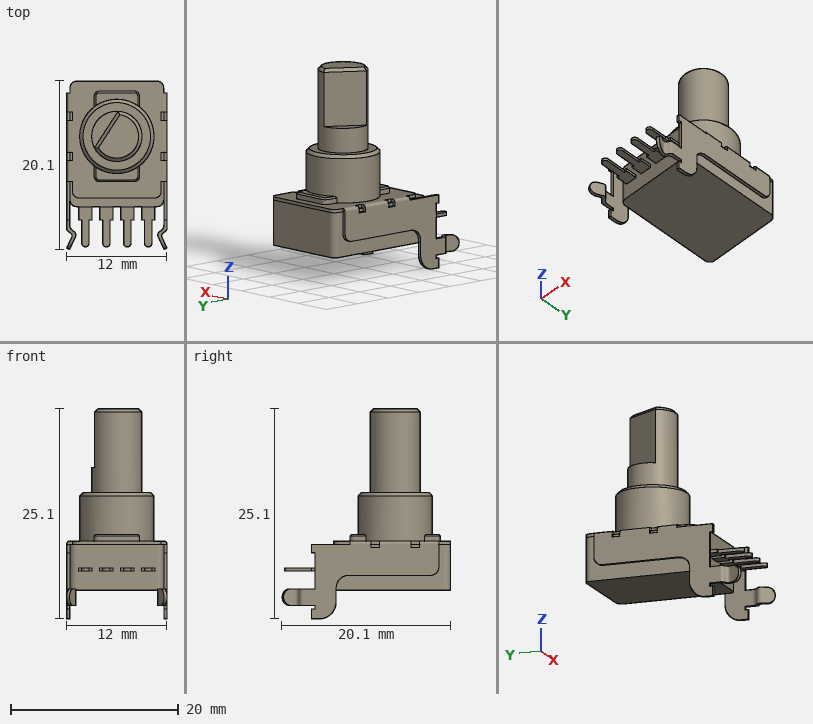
import cadquery as cq
import math


sheet = 0.4
frame_width = 12.0
wing_outer_x = frame_width / 2
wing_inner_x = wing_outer_x - sheet
wing_back_y = 5.2
bend_front_y = -5.4
plate_front_y = -7.35
plate_front_half_width = 5.3
relief_length = 1.0
relief_offset_y = 2.4
relief_depth = 2 * sheet

wing_front_y = -10.0
wing_recess_y = -9.6
wing_leg_back_y = -7.05
wing_upper_lug_z = -1.4
wing_low_edge_z = -4.1
wing_lower_lug_z = -8.1
wing_bottom_z = -9.3
wing_back_radius = 1.0
wing_inside_radius = 1.5
wing_leg_radius = 2.0

tongue_top_z = -5.7
tongue_height = 2.0
tongue_bottom_z = tongue_top_z - tongue_height
tongue_bend_y = -11.2
tongue_crest_x = 5.25
tongue_crest_y = -11.75
tongue_tip_y = -13.33
tongue_outer_radius = 0.4
tongue_hollow_radius = 0.8
tongue_crest_radius = 0.5

housing_half_width = wing_inner_x
housing_back_y = 6.6
housing_length = 15.0
housing_front_y = housing_back_y - housing_length
housing_bottom_z = -5.9
corner_radius = 0.8
bushing_diameter = 8.87
bushing_height = 5.8
bushing_chamfer = 0.4
pad_width = 5.4
pad_length = 10.8
pad_height = 0.8
pad_corner_radius = 0.6
pad_chamfer = 0.2

shaft_diameter = 6.0
shaft_top_z = 15.8
shaft_chamfer = 0.4
flat_bottom_z = 8.8
flat_distance = 1.5
flat_angle = 147.0

terminal_count = 4
terminal_pitch = 2.5
terminal_top_z = -3.2
terminal_thickness = 0.4
terminal_root_width = 1.6
terminal_blade_width = 0.9
terminal_shoulder_y = -10.0
terminal_tip_y = -13.2


def block(x_min, x_max, y_min, y_max, z_min, z_max):
    """Box between the given limits."""
    return cq.Workplane("XY").box(
        x_max - x_min, y_max - y_min, z_max - z_min, centered=False
    ).translate((x_min, y_min, z_min))


def pad_block():
    """Rounded bar across the bushing foot, whose two ends show as pads."""
    return (
        cq.Workplane("XY")
        .workplane(offset=-sheet)
        .rect(pad_width, pad_length)
        .extrude(sheet + pad_height)
        .edges("|Z")
        .fillet(pad_corner_radius)
    )


def axis_cylinder(diameter, height):
    """Cylinder on the shaft axis, from the underside of the plate up to a height."""
    return (
        cq.Workplane("XY")
        .workplane(offset=-sheet)
        .circle(diameter / 2)
        .extrude(sheet + height)
    )


def base_outline_prism(z_min, z_max):
    """Housing footprint with rounded corners, between two heights."""
    return (
        block(-housing_half_width, housing_half_width, housing_front_y, housing_back_y, z_min, z_max)
        .edges("|Z")
        .fillet(corner_radius)
    )


def make_shaft():
    """D-shaft that stands on the housing block inside the bushing."""
    shaft = axis_cylinder(shaft_diameter, shaft_top_z)
    flat_cut = block(
        flat_distance, shaft_diameter, -shaft_diameter, shaft_diameter, flat_bottom_z, shaft_top_z
    ).rotate((0, 0, 0), (0, 0, 1), flat_angle)
    return shaft.cut(flat_cut).faces(">Z").chamfer(shaft_chamfer)


def make_housing():
    """Housing block with its bushing and pads, which pass through the frame."""
    body = base_outline_prism(housing_bottom_z, -sheet)
    bushing = axis_cylinder(bushing_diameter, bushing_height).faces(">Z").chamfer(bushing_chamfer)
    pad = pad_block().faces(">Z").chamfer(pad_chamfer)
    bore = axis_cylinder(shaft_diameter, bushing_height)
    return body.union(bushing.union(pad).cut(bore))


def make_plate():
    """Top plate with the window for the bushing and pads."""
    plate_back = base_outline_prism(-sheet, 0).intersect(
        block(-frame_width, frame_width, bend_front_y, housing_back_y, -sheet, 0)
    )
    plate_front = (
        block(-plate_front_half_width, plate_front_half_width, plate_front_y, bend_front_y, -sheet, 0)
        .edges("|Z and <Y")
        .fillet(corner_radius)
    )
    window = axis_cylinder(bushing_diameter, bushing_height).union(pad_block())
    return plate_back.union(plate_front).cut(window)


def make_bend():
    """Rounded corner strip that joins the plate to the +X wing."""
    return (
        cq.Workplane("XZ", origin=(0, wing_back_y, 0))
        .moveTo(wing_inner_x, 0)
        .radiusArc((wing_outer_x, -sheet), sheet)
        .lineTo(wing_inner_x, -sheet)
        .close()
        .extrude(wing_back_y - bend_front_y)
    )


def make_wing():
    """Flat +X wing with its leg and stop lugs, without the tongue."""
    diagonal = math.sqrt(0.5)
    inside_y = wing_leg_back_y + wing_inside_radius
    inside_z = wing_low_edge_z - wing_inside_radius
    leg_y = wing_leg_back_y - wing_leg_radius
    leg_z = wing_bottom_z + wing_leg_radius
    back_y = wing_back_y - wing_back_radius
    back_z = wing_low_edge_z + wing_back_radius
    return (
        cq.Workplane("YZ", origin=(wing_inner_x, 0, 0))
        .moveTo(wing_back_y, -sheet)
        .lineTo(wing_front_y, -sheet)
        .lineTo(wing_front_y, wing_upper_lug_z)
        .lineTo(wing_recess_y, wing_upper_lug_z)
        .lineTo(wing_recess_y, wing_lower_lug_z)
        .lineTo(wing_front_y, wing_lower_lug_z)
        .lineTo(wing_front_y, wing_bottom_z)
        .lineTo(leg_y, wing_bottom_z)
        .threePointArc(
            (leg_y + wing_leg_radius * diagonal, leg_z - wing_leg_radius * diagonal),
            (wing_leg_back_y, leg_z),
        )
        .lineTo(wing_leg_back_y, inside_z)
        .threePointArc(
            (inside_y - wing_inside_radius * diagonal, inside_z + wing_inside_radius * diagonal),
            (inside_y, wing_low_edge_z),
        )
        .lineTo(back_y, wing_low_edge_z)
        .threePointArc(
            (back_y + wing_back_radius * diagonal, back_z - wing_back_radius * diagonal),
            (wing_back_y, back_z),
        )
        .close()
        .extrude(sheet)
    )


def mitre_corner(before, corner, after, thickness):
    """Corner of the parallel path that lies one thickness to the right of the given path."""
    angle_in = math.atan2(corner[1] - before[1], corner[0] - before[0])
    angle_out = math.atan2(after[1] - corner[1], after[0] - corner[0])
    bisector = (angle_in + angle_out) / 2 - math.pi / 2
    reach = thickness / math.cos((angle_out - angle_in) / 2)
    return (corner[0] + reach * math.cos(bisector), corner[1] + reach * math.sin(bisector))


def vertical_edge_at(corner):
    """Selector for the vertical tongue edge at a corner of its outline."""
    return cq.NearestToPointSelector((corner[0], corner[1], tongue_bottom_z + tongue_height / 2))


def make_tongue():
    """Bent snap tongue of the +X wing; its end is a half disc as wide as the tongue."""
    root = (wing_outer_x, wing_recess_y)
    bend = (wing_outer_x, tongue_bend_y)
    crest = (tongue_crest_x, tongue_crest_y)
    tip = (wing_outer_x, tongue_tip_y)
    tip_radius = tongue_height / 2
    tip_length = math.dist(crest, tip)
    along_x = (tip[0] - crest[0]) / tip_length
    along_y = (tip[1] - crest[1]) / tip_length
    inward = (along_y, -along_x)
    disc = (tip[0] - tip_radius * along_x, tip[1] - tip_radius * along_y)
    inner_bend = mitre_corner(root, bend, crest, sheet)
    inner_crest = mitre_corner(bend, crest, tip, sheet)
    strip = (
        cq.Workplane("XY", origin=(0, 0, tongue_bottom_z))
        .polyline([
            root,
            bend,
            crest,
            disc,
            (disc[0] + sheet * inward[0], disc[1] + sheet * inward[1]),
            inner_crest,
            inner_bend,
            (wing_inner_x, wing_recess_y),
        ])
        .close()
        .extrude(tongue_height)
    )
    for corner in (bend, crest):
        strip = strip.edges(vertical_edge_at(corner)).fillet(tongue_outer_radius)
    strip = strip.edges(vertical_edge_at(inner_bend)).fillet(tongue_hollow_radius)
    strip = strip.edges(vertical_edge_at(inner_crest)).fillet(tongue_crest_radius)
    disc_plane = cq.Plane(
        origin=(disc[0], disc[1], tongue_bottom_z + tip_radius),
        xDir=(0, 0, 1),
        normal=(inward[0], inward[1], 0),
    )
    half_disc = (
        cq.Workplane(disc_plane)
        .moveTo(-tip_radius, 0)
        .threePointArc((0, -tip_radius), (tip_radius, 0))
        .close()
        .extrude(sheet)
    )
    return strip.union(half_disc)


def make_reliefs():
    """Openings along the +X bend."""
    half = relief_length / 2
    reliefs = cq.Workplane("XY")
    for y in (-relief_offset_y, relief_offset_y):
        reliefs = reliefs.union(
            block(plate_front_half_width, wing_outer_x, y - half, y + half, -relief_depth, 0)
        )
    return reliefs


def make_frame():
    """Folded frame: plate with a bend, wing and tongue on each side."""
    side = make_bend().union(make_wing()).union(make_tongue())
    reliefs = make_reliefs()
    return (
        make_plate()
        .union(side)
        .union(side.mirror("YZ"))
        .cut(reliefs)
        .cut(reliefs.mirror("YZ"))
    )


def make_terminal(x):
    """Flat terminal that stands on the housing front: wide root, round-ended blade."""
    root_half = terminal_root_width / 2
    blade_half = terminal_blade_width / 2
    blade_end_y = terminal_tip_y + blade_half
    return (
        cq.Workplane("XY", origin=(x, 0, terminal_top_z - terminal_thickness))
        .moveTo(-root_half, housing_front_y)
        .lineTo(root_half, housing_front_y)
        .lineTo(root_half, terminal_shoulder_y)
        .lineTo(blade_half, terminal_shoulder_y)
        .lineTo(blade_half, blade_end_y)
        .threePointArc((0, terminal_tip_y), (-blade_half, blade_end_y))
        .lineTo(-blade_half, terminal_shoulder_y)
        .lineTo(-root_half, terminal_shoulder_y)
        .close()
        .extrude(terminal_thickness)
    )


shaft = make_shaft()
housing = make_housing()
frame = make_frame()
terminals = []
for index in range(terminal_count):
    offset_x = (index - (terminal_count - 1) / 2) * terminal_pitch
    terminals.append(make_terminal(offset_x).val())

result = cq.Compound.makeCompound([shaft.val(), housing.val(), frame.val(), *terminals])